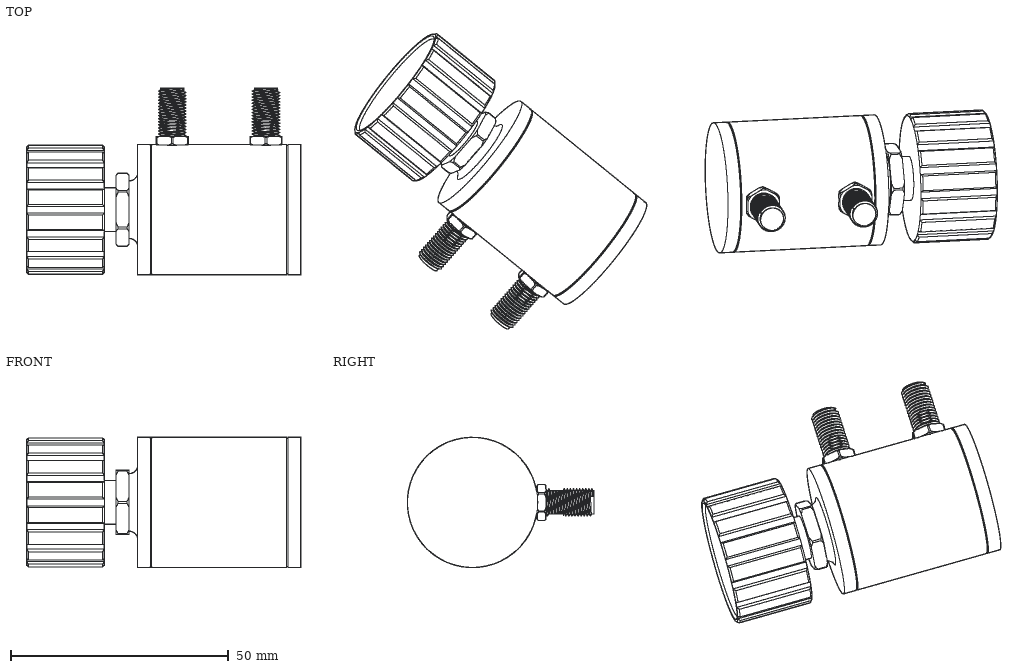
import cadquery as cq
import math

TOTAL_LENGTH = 62.99
BODY_DIAMETER = 30.0
BODY_LENGTH = 37.55
BODY_START = TOTAL_LENGTH - BODY_LENGTH

SEAM_INSET = 3.0
SEAM_WIDTH = 0.25
SEAM_DIAMETER = 29.52

KNOB_LENGTH = 17.85
PAD_TOP_DIAMETER = 29.8
KNOB_CORE_DIAMETER = 28.9
PAD_COUNT = 16
PAD_PITCH = 360 / PAD_COUNT
PAD_BASE_ANGLE = 16.3
PAD_TOP_ANGLE = 13.1
PAD_END_CHAMFER = 0.45

DISH_RIM_DIAMETER = 27.8
DISH_FLOOR_DIAMETER = 26.95
DISH_DEPTH = 0.6

SHAFT_DIAMETER = 10.13
NUT_START = 20.5
NUT_LENGTH = 3.05
NUT_ACROSS_FLATS = 14.8
NUT_CORNER_DIAMETER = 16.85
NUT_CHAMFER = 0.5
COLLAR_DIAMETER = 13.3
FLARE_HEIGHT = 1.4

CONNECTOR_INSET = 8.0
CONNECTOR_TIP = 27.96
CONNECTOR_ROOT = 13.0
CORE_DIAMETER = 5.38
CONNECTOR_HEX_START = 14.86
CONNECTOR_HEX_LENGTH = 2.0
CONNECTOR_HEX_ACROSS_FLATS = 7.4
CONNECTOR_HEX_CORNER_DIAMETER = 8.35
CONNECTOR_HEX_CHAMFER = 0.3

MM_PER_INCH = 25.4
THREADS_PER_INCH = 36
THREAD_DIAMETER = 6.35
THREAD_PITCH = MM_PER_INCH / THREADS_PER_INCH
THREAD_ROOT_WIDTH = 0.64
THREAD_EMBED = 0.1
THREAD_TIP_GAP = 0.4
THREAD_FLAT_TIP_GAP = 7.1
THREAD_FLAT_LENGTH = 3.2


def cylinder_x(start, length, diameter):
    return cq.Workplane("YZ", origin=(start, 0, 0)).circle(diameter / 2).extrude(length)


def chamfered_hex(length, across_flats, corner_diameter, chamfer):
    """Hexagon along +Z with corners on local X, its corners turned to a chamfered cylinder."""
    hexagon = cq.Workplane("XY").polygon(6, across_flats / math.cos(math.pi / 6)).extrude(length)
    envelope = cq.Workplane("XY").circle(corner_diameter / 2).extrude(length)
    envelope = envelope.edges().chamfer(chamfer)
    return hexagon.intersect(envelope)


def make_body():
    body = cylinder_x(BODY_START, BODY_LENGTH, BODY_DIAMETER)
    for start in (BODY_START + SEAM_INSET, TOTAL_LENGTH - SEAM_INSET - SEAM_WIDTH):
        ring = cylinder_x(start, SEAM_WIDTH, BODY_DIAMETER)
        body = body.cut(ring.cut(cylinder_x(start, SEAM_WIDTH, SEAM_DIAMETER)))
    return body


def polar(radius, angle):
    """Point at the given radius and angle in degrees."""
    return (radius * math.cos(math.radians(angle)), radius * math.sin(math.radians(angle)))


def make_grip_pad(center_angle):
    """Sector from the knob axis out to a raised pad with sloping sides, as long as the knob."""
    core_radius = KNOB_CORE_DIAMETER / 2
    top_radius = PAD_TOP_DIAMETER / 2
    base_half = PAD_BASE_ANGLE / 2
    top_half = PAD_TOP_ANGLE / 2
    return (
        cq.Workplane("YZ")
        .moveTo(0, 0)
        .lineTo(*polar(core_radius, center_angle - base_half))
        .lineTo(*polar(top_radius, center_angle - top_half))
        .threePointArc(polar(top_radius, center_angle), polar(top_radius, center_angle + top_half))
        .lineTo(*polar(core_radius, center_angle + base_half))
        .close()
        .extrude(KNOB_LENGTH)
    )


def make_knob():
    knob = cylinder_x(0, KNOB_LENGTH, KNOB_CORE_DIAMETER)
    for index in range(PAD_COUNT):
        knob = knob.union(make_grip_pad((index + 0.5) * PAD_PITCH))
    envelope = cylinder_x(0, KNOB_LENGTH, PAD_TOP_DIAMETER).edges().chamfer(PAD_END_CHAMFER)
    knob = knob.intersect(envelope)
    dish = (
        cq.Workplane("YZ")
        .circle(DISH_RIM_DIAMETER / 2)
        .workplane(offset=DISH_DEPTH)
        .circle(DISH_FLOOR_DIAMETER / 2)
        .loft(ruled=True)
    )
    return knob.cut(dish)


def make_shaft_and_nut():
    shaft = cylinder_x(KNOB_LENGTH, BODY_START - KNOB_LENGTH, SHAFT_DIAMETER)
    nut = chamfered_hex(NUT_LENGTH, NUT_ACROSS_FLATS, NUT_CORNER_DIAMETER, NUT_CHAMFER)
    nut = nut.rotate((0, 0, 0), (0, 0, 1), 90).rotate((0, 0, 0), (0, 1, 0), 90)
    return shaft.union(nut.translate((NUT_START, 0, 0)))


def make_collar():
    """Collar between nut and body, flaring out to meet the body face."""
    start = NUT_START + NUT_LENGTH
    length = BODY_START - start
    radius = COLLAR_DIAMETER / 2
    flare_radius = (length**2 + FLARE_HEIGHT**2) / (2 * FLARE_HEIGHT)
    half_sweep = math.asin(length / flare_radius) / 2
    flare_middle = (
        start + flare_radius * math.sin(half_sweep),
        radius + flare_radius * (1 - math.cos(half_sweep)),
    )
    return (
        cq.Workplane("XY")
        .moveTo(start, 0)
        .lineTo(start, radius)
        .threePointArc(flare_middle, (BODY_START, radius + FLARE_HEIGHT))
        .lineTo(BODY_START, 0)
        .close()
        .revolve(360, (0, 0, 0), (1, 0, 0))
    )


def make_thread(length):
    """Helical ridge around +Z, starting at Z = 0."""
    inner_radius = CORE_DIAMETER / 2 - THREAD_EMBED
    crest_radius = THREAD_DIAMETER / 2
    helix = cq.Wire.makeHelix(THREAD_PITCH, length, inner_radius)
    profile = (
        cq.Workplane("XZ")
        .moveTo(inner_radius, -THREAD_ROOT_WIDTH / 2)
        .lineTo(crest_radius, 0)
        .lineTo(inner_radius, THREAD_ROOT_WIDTH / 2)
        .close()
    )
    return profile.sweep(cq.Workplane(helix), isFrenet=True)


def make_connector():
    """Connector along +Z, its base sunk in the body."""
    hex_top = CONNECTOR_HEX_START + CONNECTOR_HEX_LENGTH
    thread_start = hex_top - THREAD_PITCH / 2
    thread = make_thread(CONNECTOR_TIP - THREAD_TIP_GAP - thread_start).translate((0, 0, thread_start))
    flat_top = CONNECTOR_TIP - THREAD_FLAT_TIP_GAP
    for side in (1, -1):
        flat_cut = (
            cq.Workplane("XY", origin=(side * CORE_DIAMETER, 0, flat_top - THREAD_FLAT_LENGTH))
            .rect(CORE_DIAMETER, THREAD_DIAMETER * 2)
            .extrude(THREAD_FLAT_LENGTH)
        )
        thread = thread.cut(flat_cut)
    core = (
        cq.Workplane("XY", origin=(0, 0, CONNECTOR_ROOT))
        .circle(CORE_DIAMETER / 2)
        .extrude(CONNECTOR_TIP - CONNECTOR_ROOT)
    )
    hexagon = chamfered_hex(
        CONNECTOR_HEX_LENGTH,
        CONNECTOR_HEX_ACROSS_FLATS,
        CONNECTOR_HEX_CORNER_DIAMETER,
        CONNECTOR_HEX_CHAMFER,
    ).translate((0, 0, CONNECTOR_HEX_START))
    return core.union(thread).union(hexagon)


def point_along_y(connector):
    """Turn local +Z to +Y and local X to Z."""
    return connector.rotate((0, 0, 0), (0, 0, 1), 90).rotate((0, 0, 0), (1, 0, 0), -90)


result = make_body().union(make_collar()).union(make_shaft_and_nut()).union(make_knob())
connector = point_along_y(make_connector())
for connector_x in (BODY_START + CONNECTOR_INSET, TOTAL_LENGTH - CONNECTOR_INSET):
    result = result.union(connector.translate((connector_x, 0, 0)))